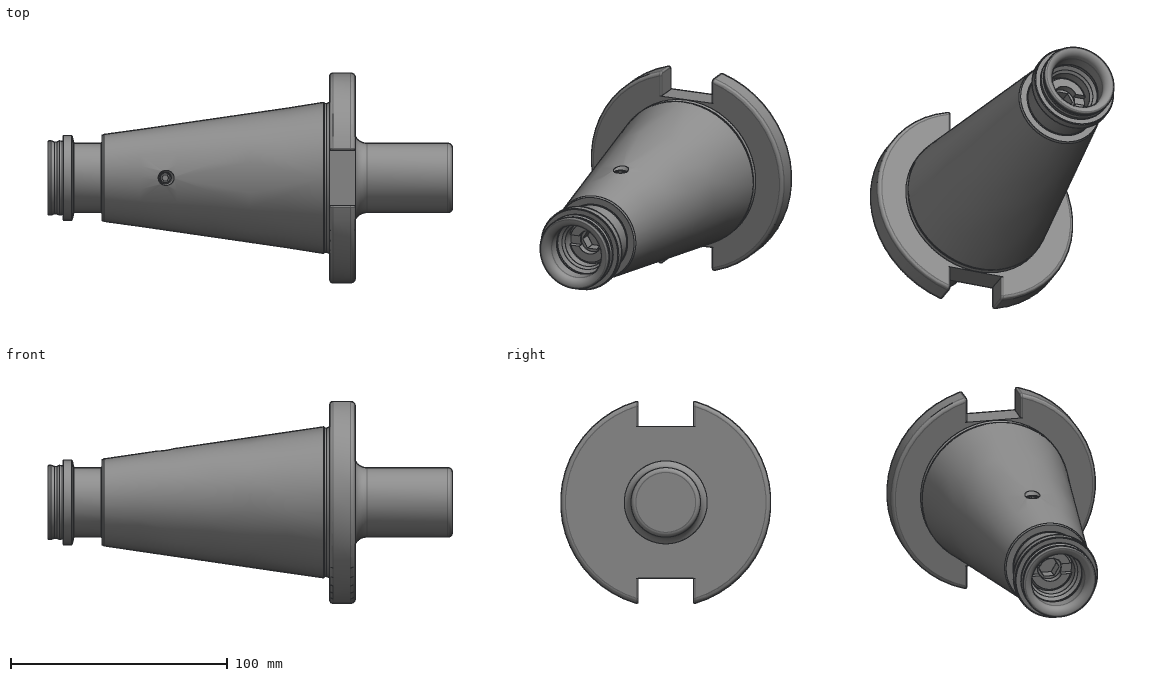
import cadquery as cq
import math

collar_start = 7.0
collar_end = 11.2
neck_start = 11.8
neck_end = 24.8
taper_end = 127.2
flange_start = 130.0
flange_end = 142.0
overall_length = 186.8

rim_radius = 17.2
rim_outer_round = 0.7
rim_groove_radius = 16.6
rim_groove_start = 1.5
rim_groove_floor_start = 3.0
rim_groove_floor_end = 4.1
rim_crest = 5.2
rim_back_start = 6.4
rim_back_radius = 17.0

collar_radius = 19.6
collar_chamfer = 0.4
collar_back_radius = 17.2
neck_radius = 16.0
neck_corner_chamfer = 0.4

taper_small_radius = 20.0
taper_large_radius = 35.0
taper_chamfer_length = 1.0
taper_chamfer_depth = 0.4
relief_radius = 34.4
relief_floor_start = 127.8
relief_floor_end = 128.7

flange_radius = 48.5
flange_front_round = 1.7
flange_back_round = 2.2
slot_width = 25.4
slot_floor = 35.1
slot_edge_round = 0.7
slot_sides = (1, -1)

pilot_radius = 16.0
pilot_root_round = 6.0
pilot_root_length = 5.2
pilot_root_height = pilot_root_round - math.sqrt(pilot_root_round**2 - pilot_root_length**2)
pilot_end_round = 2.2

bore_radius = 12.7
mouth_round = rim_radius - rim_outer_round - bore_radius
recess_start = 9.7
recess_radius = 13.0
recess_end = 11.5
sleeve_seat_radius = 11.5
sleeve_start = recess_end + recess_radius - sleeve_seat_radius

sleeve_inner_radius = 10.5
screw_face = 18.0
screw_length = 18.7
screw_end = screw_face + screw_length
screw_chamfer = 1.0
screw_slot_width = 5.0
screw_slot_depth = 2.8
screw_counterbore_radius = 5.6
screw_counterbore_depth = 3.7
screw_hex_width = 8.4
screw_hex_end_depth = 9.3

grub_x = 54.2
grub_radius = 2.8
grub_top = 23.2
grub_length = 7.5
grub_chamfer = 0.5
grub_hex_width = 2.8
grub_hex_depth = 2.8
grub_mouth_radius = 4.5
grub_mouth_height = 2.2

cut_margin = 1.9


def taper_radius(x):
    slope = (taper_large_radius - taper_small_radius) / (taper_end - neck_end)
    return taper_small_radius + slope * (x - neck_end)


def revolve_about_x(profile):
    return profile.close().revolve(360, (0, 0, 0), (1, 0, 0))


def hexagon(workplane, width, depth):
    return workplane.polygon(6, width / math.cos(math.pi / 6)).extrude(depth)


def make_holder_blank():
    taper_chamfer_end = neck_end + taper_chamfer_length
    profile = (
        cq.Workplane("XZ")
        .moveTo(0, 0)
        .lineTo(0, rim_radius - rim_outer_round)
        .radiusArc((rim_outer_round, rim_radius), rim_outer_round)
        .lineTo(rim_groove_start, rim_radius)
        .lineTo(rim_groove_floor_start, rim_groove_radius)
        .lineTo(rim_groove_floor_end, rim_groove_radius)
        .lineTo(rim_crest, rim_radius)
        .lineTo(rim_back_start, rim_back_radius)
        .lineTo(collar_start, rim_back_radius)
        .lineTo(collar_start, collar_radius - collar_chamfer)
        .lineTo(collar_start + collar_chamfer, collar_radius)
        .lineTo(collar_end - collar_chamfer, collar_radius)
        .lineTo(collar_end, collar_radius - collar_chamfer)
        .lineTo(neck_start, collar_back_radius)
        .lineTo(neck_start, neck_radius + neck_corner_chamfer)
        .lineTo(neck_start + neck_corner_chamfer, neck_radius)
        .lineTo(neck_end - neck_corner_chamfer, neck_radius)
        .lineTo(neck_end, neck_radius + neck_corner_chamfer)
        .lineTo(neck_end, taper_small_radius - taper_chamfer_depth)
        .lineTo(taper_chamfer_end, taper_radius(taper_chamfer_end))
        .lineTo(taper_end, taper_large_radius)
        .lineTo(relief_floor_start, relief_radius)
        .lineTo(relief_floor_end, relief_radius)
        .lineTo(flange_start, taper_large_radius)
        .lineTo(flange_start, flange_radius - flange_front_round)
        .radiusArc((flange_start + flange_front_round, flange_radius), flange_front_round)
        .lineTo(flange_end - flange_back_round, flange_radius)
        .radiusArc((flange_end, flange_radius - flange_back_round), flange_back_round)
        .lineTo(flange_end, pilot_radius + pilot_root_height)
        .radiusArc((flange_end + pilot_root_length, pilot_radius), -pilot_root_round)
        .lineTo(overall_length - pilot_end_round, pilot_radius)
        .radiusArc((overall_length, pilot_radius - pilot_end_round), pilot_end_round)
        .lineTo(overall_length, 0)
    )
    return revolve_about_x(profile)


def make_driving_slot(side):
    length = flange_end - flange_start
    depth = flange_radius - slot_floor + cut_margin
    return cq.Workplane("XY").box(length, slot_width, depth).translate(
        (flange_start + length / 2, 0, side * (slot_floor + depth / 2))
    )


def round_slot_edges(holder, side):
    """Round the two edges where one driving slot breaks through the flange rim."""
    search_half_width = slot_width / 2 + cut_margin
    search_floor = side * (slot_floor + cut_margin)
    rim_edges = cq.selectors.BoxSelector(
        (flange_start, -search_half_width, search_floor),
        (flange_end, search_half_width, side * flange_radius),
    )
    return holder.edges("|X").edges(rim_edges).fillet(slot_edge_round)


def make_bore():
    profile = (
        cq.Workplane("XZ")
        .moveTo(0, 0)
        .lineTo(0, bore_radius + mouth_round)
        .radiusArc((mouth_round, bore_radius), -mouth_round)
        .lineTo(recess_start, bore_radius)
        .lineTo(recess_start + recess_radius - bore_radius, recess_radius)
        .lineTo(recess_end, recess_radius)
        .lineTo(sleeve_start, sleeve_seat_radius)
        .lineTo(screw_end, sleeve_seat_radius)
        .lineTo(screw_end, 0)
    )
    return revolve_about_x(profile)


def make_grub_hole():
    bottom = cq.Workplane("XY", origin=(grub_x, 0, grub_top - grub_length))
    shaft = bottom.circle(grub_radius).extrude(grub_length)
    mouth = (
        cq.Workplane("XY", origin=(grub_x, 0, grub_top))
        .circle(grub_radius)
        .workplane(offset=grub_mouth_height)
        .circle(grub_mouth_radius)
        .loft()
    )
    return shaft.union(mouth)


def make_holder():
    holder = make_holder_blank()
    for side in slot_sides:
        holder = holder.cut(make_driving_slot(side))
        holder = round_slot_edges(holder, side)
    return holder.cut(make_bore()).cut(make_grub_hole())


def make_sleeve():
    profile = (
        cq.Workplane("XZ")
        .moveTo(sleeve_start, sleeve_seat_radius)
        .lineTo(sleeve_start + sleeve_seat_radius - sleeve_inner_radius, sleeve_inner_radius)
        .lineTo(screw_end, sleeve_inner_radius)
        .lineTo(screw_end, sleeve_seat_radius)
    )
    return revolve_about_x(profile)


def make_plug_screw():
    face = cq.Workplane("YZ", origin=(screw_face, 0, 0))
    screw = face.circle(sleeve_inner_radius).extrude(screw_length)
    screw = screw.faces("<X").chamfer(screw_chamfer)
    slot = face.rect(2 * sleeve_inner_radius, screw_slot_width).extrude(screw_slot_depth)
    counterbore = face.circle(screw_counterbore_radius).extrude(screw_counterbore_depth)
    socket = hexagon(face, screw_hex_width, screw_hex_end_depth)
    return screw.cut(slot).cut(counterbore).cut(socket)


def make_grub_screw():
    top = cq.Workplane("XY", origin=(grub_x, 0, grub_top))
    screw = top.circle(grub_radius).extrude(-grub_length)
    screw = screw.faces(">Z").chamfer(grub_chamfer)
    return screw.cut(hexagon(top, grub_hex_width, -grub_hex_depth))


holder = make_holder()
sleeve = make_sleeve()
plug_screw = make_plug_screw()
grub_screw = make_grub_screw()

result = cq.Compound.makeCompound([holder.val(), sleeve.val(), plug_screw.val(), grub_screw.val()])